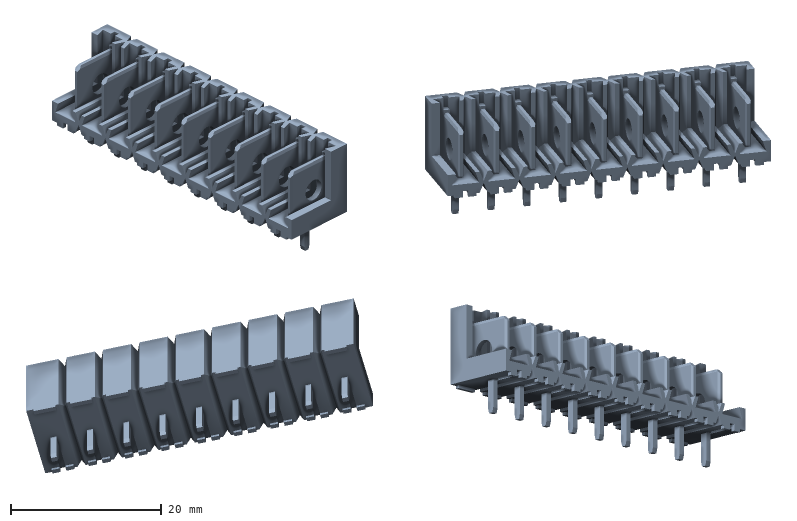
import cadquery as cq


length = 45.0
cells = 9
pitch = length / cells
leg_size = 10.5
leg_thickness = 3.0

channel_mouth = 2.7
channel_floor = 3.75
channel_depth = 1.55

notch_width = 1.12
notch_depth = 1.35

foot_width = 3.0
foot_depth = 0.6
foot_height = 0.4

total_height = 15.0
thickness = 0.8
stem_sink = 0.75
stem_top = 8.85
tab_end = 8.45
tab_corner = 0.7
edge_bevel = 0.2
top_bevel = 0.4
front_bevel = 0.3
tab_root = 0.3
hole_diameter = 3.0
hole_place = 4.25

pin_width = 1.0
pin_place = 5.5
pin_tip_height = 0.68
pin_tip_bevel = 0.2

groove_height = 0.5
shoulder_height = 0.4
shoulder_depth = 0.25

channel_level = leg_thickness - channel_depth
root_level = channel_level + tab_root
stem_back = channel_level - stem_sink
pin_bottom = leg_size - total_height
cell_centres = [(i - (cells - 1) / 2) * pitch for i in range(cells)]
cell_borders = [(i - cells / 2) * pitch for i in range(1, cells)]


def along_wall(points):
    """Upright prism from (x, distance from the back face) points, as high as the wall."""
    outline = [(x, -distance) for x, distance in points]
    return cq.Workplane("XY").polyline(outline).close().extrude(leg_size)


def along_base(points):
    """Prism along Y from (x, z) points, as long as the base is deep."""
    return cq.Workplane("XZ").polyline(points).close().extrude(leg_size)


def from_side(points, width, x):
    """Prism centred on x from (distance from the back face, z) points."""
    outline = [(-distance, z) for distance, z in points]
    return cq.Workplane("YZ", origin=(x - width / 2, 0, 0)).polyline(outline).close().extrude(width)


def channel(x):
    """Dovetail void down the wall and along the base, meeting where their floors cross."""
    section = [
        (x - channel_floor / 2, channel_level),
        (x + channel_floor / 2, channel_level),
        (x + channel_mouth / 2, leg_thickness),
        (x - channel_mouth / 2, leg_thickness),
    ]
    block = cq.Workplane("XY").box(length, leg_size, leg_size, centered=(True, False, False))
    above_base_floor = block.translate((0, -leg_size, channel_level))
    before_wall_floor = block.translate((0, -leg_size - channel_level, 0))
    wall_channel = along_wall(section).intersect(above_base_floor)
    base_channel = along_base(section).intersect(before_wall_floor)
    return wall_channel.union(base_channel)


def outer_notch(x):
    section = [(x - notch_width / 2, 0), (x + notch_width / 2, 0), (x, notch_depth)]
    return along_wall(section).union(along_base(section))


def inner_notch(x):
    """V notch along both inner faces, mitred where the wall meets the base."""
    section = [
        (x, leg_thickness - notch_depth),
        (x + notch_width / 2, leg_thickness),
        (x + notch_width / 2, leg_size),
        (x - notch_width / 2, leg_size),
        (x - notch_width / 2, leg_thickness),
    ]
    return along_wall(section).intersect(along_base(section))


def feet(x):
    foot = cq.Workplane("XY").box(foot_width, foot_depth, foot_height, centered=(True, False, False))
    back_foot = foot.translate((x, -foot_depth, -foot_height))
    front_foot = foot.translate((x, -leg_size, -foot_height))
    return back_foot.union(front_foot)


def terminal_blank(x):
    """Terminal with square edges, without its hole."""
    pin_back = pin_place - pin_width / 2
    pin_front = pin_place + pin_width / 2
    tip_start = pin_bottom + pin_tip_height
    outline = [
        (stem_back, channel_level),
        (pin_back, channel_level),
        (pin_back, tip_start),
        (pin_back + pin_tip_bevel, pin_bottom),
        (pin_front - pin_tip_bevel, pin_bottom),
        (pin_front, tip_start),
        (pin_front, groove_height - shoulder_height),
        (pin_front + shoulder_depth, groove_height),
        (pin_front + shoulder_depth, channel_level),
        (tab_end - front_bevel, channel_level),
        (tab_end - front_bevel, root_level),
        (tab_end, root_level),
        (tab_end, tab_end - tab_corner),
        (tab_end - tab_corner, tab_end),
        (root_level, tab_end),
        (root_level, stem_top),
        (stem_back, stem_top),
    ]
    return from_side(outline, thickness, x)


def edge_bevels(x):
    """Wedges that thin both sides of the tab towards its top and front edges."""
    def wedge_section(side, bevel):
        face = x + side * thickness / 2
        return [
            (face, tab_end - bevel),
            (face, tab_end),
            (face - side * edge_bevel, tab_end),
        ]

    wedges = cq.Workplane("XY")
    for side in (-1, 1):
        top = along_base(wedge_section(side, top_bevel)).translate((0, -root_level, 0))
        front = along_wall(wedge_section(side, front_bevel)).translate((0, 0, root_level))
        wedges = wedges.add(top).add(front)
    return wedges.combine()


def terminal(x):
    side = cq.Workplane("YZ", origin=(x - thickness / 2, -hole_place, hole_place))
    hole = side.circle(hole_diameter / 2).extrude(thickness)
    return terminal_blank(x).cut(edge_bevels(x)).cut(hole)


def stem_groove(x):
    """Groove in the wall that stays open above the stem."""
    outline = [
        (stem_back, stem_top),
        (leg_thickness, stem_top),
        (leg_thickness, leg_size),
        (stem_back, leg_size),
    ]
    return from_side(outline, thickness, x)


def bottom_groove(x):
    outline = [
        (pin_place, -foot_height),
        (leg_size, -foot_height),
        (leg_size, groove_height),
        (pin_place, groove_height),
    ]
    return from_side(outline, thickness, x)


def housing():
    section = [
        (0, 0),
        (leg_size, 0),
        (leg_size, leg_thickness),
        (leg_thickness, leg_thickness),
        (leg_thickness, leg_size),
        (0, leg_size),
    ]
    body = from_side(section, length, 0)
    for x in cell_borders:
        body = body.cut(outer_notch(x)).cut(inner_notch(x))
    for x in cell_centres:
        body = body.union(feet(x)).cut(channel(x))
        body = body.cut(terminal_blank(x)).cut(stem_groove(x)).cut(bottom_groove(x))
    return body


terminals = [terminal(x).val() for x in cell_centres]
result = cq.Compound.makeCompound([housing().val(), *terminals])